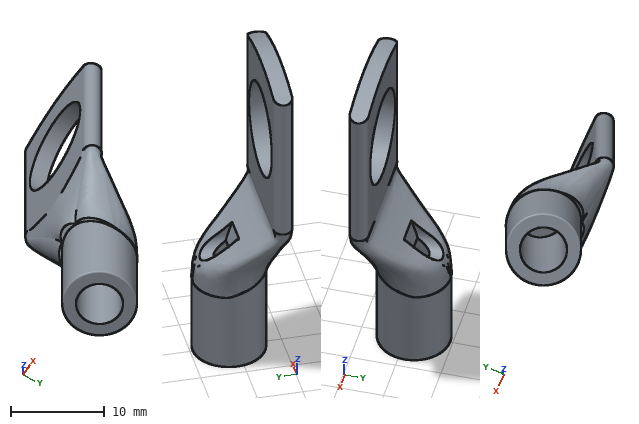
import cadquery as cq
import math

height = 36.72

barrel_radius = 8.0 / 2
barrel_top = 9.1
barrel_edge_fillet = 0.2
bore_radius = 5.0 / 2
bore_end_level = 12.8
bore_end_slope = 0.53

palm_width = 14.0
palm_thick = 2.05
overall_depth = 9.5
palm_front = barrel_radius - overall_depth
palm_back = palm_front + palm_thick
palm_bottom = 18.65
palm_tip_radius = 19.83
hole_radius = 10.5 / 2
hole_level = 27.72

palm_inset = 0.05
neck_front_bulge = 0.6
lip_start = 1.1
lip_end = -4.77
lip_mid_level = 10.1
lip_end_level = 11.95

slot_radius = 1.55
slot_floor = 11.95
slot_end_top = -0.75
slot_end_level = 15.05
slot_end_bottom = 0.0

reach = 18.35


def neck_section(level, back, half_width, flank_front, back_radius, front_radius):
    """Wire of a rounded rectangle with a flat back and a crowned front."""
    back_x = half_width - back_radius
    back_y = back - back_radius
    front_x = half_width - front_radius
    front_y = flank_front + front_radius
    diagonal = math.sqrt(0.5)
    back_mid_x = back_x + back_radius * diagonal
    back_mid_y = back_y + back_radius * diagonal
    front_mid_x = front_x + front_radius * diagonal
    front_mid_y = front_y - front_radius * diagonal
    return (
        cq.Workplane("XY", origin=(0, 0, level))
        .moveTo(-back_x, back)
        .lineTo(back_x, back)
        .threePointArc((back_mid_x, back_mid_y), (half_width, back_y))
        .lineTo(half_width, front_y)
        .threePointArc((front_mid_x, front_mid_y), (front_x, flank_front))
        .threePointArc((0, flank_front - neck_front_bulge), (-front_x, flank_front))
        .threePointArc((-front_mid_x, front_mid_y), (-half_width, front_y))
        .lineTo(-half_width, back_y)
        .threePointArc((-back_mid_x, back_mid_y), (-back_x, back))
        .close()
        .val()
    )


def below_lip():
    """Everything under the neck: flat at the back, curving up towards the front."""
    lip_mid = (lip_start + lip_end) / 2
    return (
        cq.Workplane("YZ", origin=(-reach / 2, 0, 0))
        .moveTo(reach, 0)
        .lineTo(reach, barrel_top)
        .lineTo(lip_start, barrel_top)
        .threePointArc((lip_mid, lip_mid_level), (lip_end, lip_end_level))
        .lineTo(-reach, lip_end_level)
        .lineTo(-reach, 0)
        .close()
        .extrude(reach)
    )


def make_barrel():
    barrel = cq.Workplane("XY").circle(barrel_radius).extrude(lip_end_level)
    return barrel.faces("<Z").edges().fillet(barrel_edge_fillet).intersect(below_lip())


def make_neck():
    sections = [
        neck_section(barrel_top, barrel_radius, 4.05, -3.4, 3.95, 3.12),
        neck_section(10.45, 3.85, 4.1, -3.67, 3.82, 2.95),
        neck_section(11.95, 3.15, 4.4, -3.95, 3.3, 2.75),
        neck_section(13.48, 1.25, 5.03, -4.3, 2.2, 2.4),
        neck_section(15.97, -1.75, 6.25, -4.9, 1.32, 1.7),
        neck_section(17.6, -3.35, 6.85, -5.3, 0.95, 0.9),
        neck_section(palm_bottom, palm_back, palm_width / 2, palm_front + palm_inset, 0.95, 0.95),
    ]
    neck = cq.Workplane(cq.Solid.makeLoft(sections))
    ahead_of_palm = cq.Workplane("XY").box(reach, reach, height, centered=(True, True, False))
    ahead_of_palm = ahead_of_palm.translate((0, palm_front - reach / 2, 0))
    return neck.cut(below_lip()).cut(ahead_of_palm)


def make_palm():
    palm = (
        cq.Workplane("XY", origin=(0, palm_front + palm_thick / 2, palm_bottom))
        .slot2D(palm_width, palm_thick)
        .extrude(height - palm_bottom)
    )
    tip = (
        cq.Workplane("XZ", origin=(0, reach, height - palm_tip_radius))
        .circle(palm_tip_radius)
        .extrude(2 * reach)
    )
    hole = (
        cq.Workplane("XZ", origin=(0, reach, hole_level))
        .circle(hole_radius)
        .extrude(2 * reach)
    )
    return palm.intersect(tip).cut(hole)


def make_bore():
    """Blind bore whose end slopes along with the back of the neck."""
    rise = bore_end_slope * bore_radius
    side = (
        cq.Workplane("YZ", origin=(-bore_radius, 0, 0))
        .moveTo(-bore_radius, 0)
        .lineTo(bore_radius, 0)
        .lineTo(bore_radius, bore_end_level - rise)
        .lineTo(-bore_radius, bore_end_level + rise)
        .close()
        .extrude(2 * bore_radius)
    )
    return cq.Workplane("XY").circle(bore_radius).extrude(height).intersect(side)


def make_slot():
    """Round-bottomed slot running along Y, open to the back, with a leaning end wall."""
    center_level = slot_floor + slot_radius
    channel = (
        cq.Workplane("XZ", origin=(0, reach, 0))
        .moveTo(-slot_radius, height)
        .lineTo(-slot_radius, center_level)
        .threePointArc((0, slot_floor), (slot_radius, center_level))
        .lineTo(slot_radius, height)
        .close()
        .extrude(2 * reach)
    )
    side = (
        cq.Workplane("YZ", origin=(-slot_radius, 0, 0))
        .moveTo(slot_end_bottom, slot_floor)
        .lineTo(slot_end_bottom, bore_end_level)
        .lineTo(slot_end_top, slot_end_level)
        .lineTo(reach, slot_end_level)
        .lineTo(reach, slot_floor)
        .close()
        .extrude(2 * slot_radius)
    )
    return channel.intersect(side)


lug = make_barrel().union(make_neck()).union(make_palm())
result = lug.cut(make_bore()).cut(make_slot())